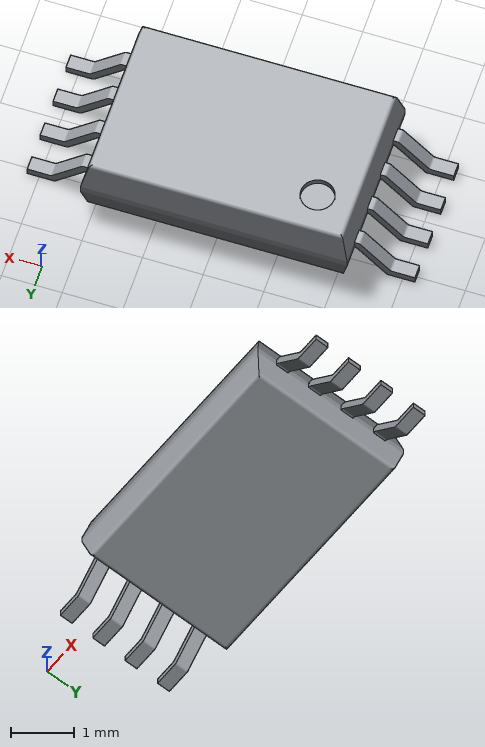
import cadquery as cq
import math

overall_length = 6.4
overall_height = 1.2

body_length = 4.4
body_width = 2.93
body_bottom = 0.1
draft_angle = 12.5
rim_radius = 0.065

mark_diameter = 0.55
mark_depth = 0.1
mark_x = -1.48
mark_y = 0.74

leads_per_side = 4
lead_pitch = 0.65
lead_width = 0.24
lead_thickness = 0.135
lead_top = 0.69
bend_radius = 0.05
foot_length = 0.4
shoulder_length = 0.09

band_top = lead_top
band_bottom = lead_top - lead_thickness


def make_body_half(start_z, height):
    """Tapered half of the body, from its full outline at start_z; a negative height goes down."""
    return (
        cq.Workplane("XY")
        .workplane(offset=start_z)
        .rect(body_length, body_width)
        .extrude(height, taper=draft_angle)
    )


def make_body():
    """Moulded body: straight band, tapered halves, rounded rims and the pin 1 recess."""
    band = (
        cq.Workplane("XY")
        .workplane(offset=band_bottom)
        .rect(body_length, body_width)
        .extrude(band_top - band_bottom)
    )
    upper_half = make_body_half(band_top, overall_height - band_top)
    upper_half = upper_half.faces(">Z").edges().fillet(rim_radius)
    lower_half = make_body_half(band_bottom, body_bottom - band_bottom)
    lower_half = lower_half.faces("<Z").edges().fillet(rim_radius)
    mark = (
        cq.Workplane("XY")
        .workplane(offset=overall_height - mark_depth)
        .center(mark_x, mark_y)
        .circle(mark_diameter / 2)
        .extrude(mark_depth)
    )
    return band.union(upper_half).union(lower_half).cut(mark)


def make_lead(side, y):
    """One lead centred on y; side is -1 for the -X row and +1 for the +X row."""
    tip_x = overall_length / 2
    root_x = body_length / 2
    ankle_x = tip_x - foot_length
    knee_x = root_x + shoulder_length

    shank_angle = math.atan2(lead_top - lead_thickness, ankle_x - knee_x)
    miter_shift = lead_thickness * math.tan(shank_angle / 2)

    profile = [
        (tip_x, 0),
        (tip_x, lead_thickness),
        (ankle_x, lead_thickness),
        (knee_x, lead_top),
        (root_x, lead_top),
        (root_x, band_bottom),
        (knee_x - miter_shift, band_bottom),
        (ankle_x - miter_shift, 0),
    ]
    lead = (
        cq.Workplane("XZ", origin=(0, y, 0))
        .polyline([(side * x, z) for x, z in profile])
        .close()
        .extrude(lead_width / 2, both=True)
    )
    return lead.edges("|Y").edges("not(<X or >X)").fillet(bend_radius)


body = make_body()

first_lead_y = -lead_pitch * (leads_per_side - 1) / 2
leads = []
for side in (-1, 1):
    for index in range(leads_per_side):
        leads.append(make_lead(side, first_lead_y + index * lead_pitch))

result = cq.Compound.makeCompound([body.val(), *[lead.val() for lead in leads]])